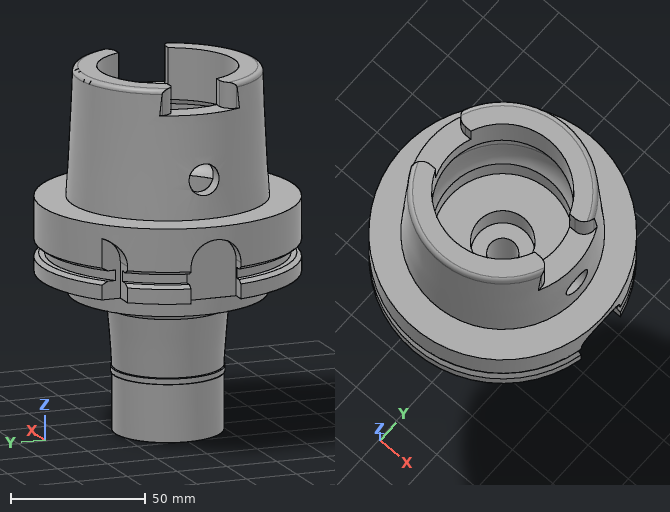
import cadquery as cq
import math

shank_length = 50.0
shank_base_radius = 38.05
shank_taper = 1 / 20
shank_top_radius = shank_base_radius - shank_length * shank_taper
shank_top_fillet = 2.0

flange_radius = 50.0
flange_bottom_z = -29.0
groove_centre_z = -20.0
groove_mouth_width = 6.6
groove_inner_width = 4.0
groove_flank_radius = 48.2
groove_floor_radius = 46.0

hub_radius = 37.5
hub_bottom_z = -37.0
neck_bottom_z = -65.0
cone_height = 5.0
neck_top_radius = 22.8
neck_bottom_radius = 21.0

sleeve_gap = 0.3
sleeve_top_z = neck_bottom_z - sleeve_gap
sleeve_bottom_z = -90.0
sleeve_radius = neck_bottom_radius
collar_radius = 21.4
collar_bottom_z = -67.5

mouth_bore_radius = 26.5
lip_bottom_z = 30.0
recess_radius = 31.5
lip_cone_height = (recess_radius - mouth_bore_radius) * math.tan(math.radians(30))
recess_wall_bottom_z = 9.7
recess_curve_radius = 10.0
pilot_bore_radius = mouth_bore_radius
pilot_floor_z = -11.0
counterbore_radius = 12.0
counterbore_depth = 15.0
through_hole_radius = 6.0

cross_hole_radius = 6.0
cross_hole_z = 15.0

drive_slot_width = 19.8
drive_slot_flat_x = 32.3
drive_slot_corner_radius = 5.0
drive_slot_floors = {-1: 40.0, 1: 34.5}

keyway_widths = {-1: 20.0, 1: 22.0}
corner_notch_width = 20.0
keyway_top_z = -5.0
keyway_floor_x = 44.0
notch_wall = 31.5


def revolve(profile):
    """Solid of revolution about Z from (radius, z) points."""
    return cq.Workplane("YZ").polyline(profile).close().revolve(360, (0, 0, 0), (0, 1, 0))


def cylinder(radius, bottom_z, top_z):
    """Cylinder on the part axis."""
    return cq.Workplane("XY", origin=(0, 0, bottom_z)).circle(radius).extrude(top_z - bottom_z)


def holder_blank():
    """Outside of the holder: shank, flange with groove, hub, cone and neck."""
    half_mouth = groove_mouth_width / 2
    half_inner = groove_inner_width / 2
    profile = [
        (0, shank_length),
        (shank_top_radius, shank_length),
        (shank_base_radius, 0),
        (flange_radius, 0),
        (flange_radius, groove_centre_z + half_mouth),
        (groove_flank_radius, groove_centre_z + half_inner),
        (groove_floor_radius, groove_centre_z + half_inner),
        (groove_floor_radius, groove_centre_z - half_inner),
        (groove_flank_radius, groove_centre_z - half_inner),
        (flange_radius, groove_centre_z - half_mouth),
        (flange_radius, flange_bottom_z),
        (hub_radius, flange_bottom_z),
        (hub_radius, hub_bottom_z),
        (neck_top_radius + cone_height, hub_bottom_z),
        (neck_top_radius, hub_bottom_z - cone_height),
        (neck_bottom_radius, neck_bottom_z),
        (0, neck_bottom_z),
    ]
    return revolve(profile).faces(">Z").edges().fillet(shank_top_fillet)


def axial_bore():
    """Clamping bore: mouth, undercut recess curving in to a pilot bore, counterbore, hole."""
    counterbore_floor_z = pilot_floor_z - counterbore_depth
    curve_centre_radius = recess_radius - recess_curve_radius
    sweep = math.acos((pilot_bore_radius - curve_centre_radius) / recess_curve_radius)

    def curve_point(angle):
        return (
            curve_centre_radius + recess_curve_radius * math.cos(angle),
            recess_wall_bottom_z - recess_curve_radius * math.sin(angle),
        )

    profile = (
        cq.Workplane("YZ")
        .moveTo(0, shank_length)
        .lineTo(mouth_bore_radius, shank_length)
        .lineTo(mouth_bore_radius, lip_bottom_z)
        .lineTo(recess_radius, lip_bottom_z - lip_cone_height)
        .lineTo(recess_radius, recess_wall_bottom_z)
        .threePointArc(curve_point(sweep / 2), curve_point(sweep))
        .lineTo(pilot_bore_radius, pilot_floor_z)
        .lineTo(counterbore_radius, pilot_floor_z)
        .lineTo(counterbore_radius, counterbore_floor_z)
        .lineTo(through_hole_radius, counterbore_floor_z)
        .lineTo(through_hole_radius, neck_bottom_z)
        .lineTo(0, neck_bottom_z)
        .close()
    )
    return profile.revolve(360, (0, 0, 0), (0, 1, 0))


def cross_hole():
    """Radial hole along X through both shank walls."""
    return (
        cq.Workplane("YZ", origin=(0, 0, cross_hole_z))
        .circle(cross_hole_radius)
        .extrude(shank_base_radius, both=True)
    )


def drive_slot(side, floor_z):
    """Slot through the rim on one side, with rounded corners onto the trimming flats."""
    half_slot = drive_slot_width / 2
    corner = drive_slot_corner_radius
    reach = shank_base_radius
    arc_start_x = drive_slot_flat_x - corner
    arc_end_y = half_slot + corner
    mid_x = arc_start_x + corner * math.sin(math.radians(45))
    mid_y = arc_end_y - corner * math.cos(math.radians(45))
    return (
        cq.Workplane("XY", origin=(0, 0, floor_z))
        .moveTo(0, -half_slot)
        .lineTo(side * arc_start_x, -half_slot)
        .threePointArc((side * mid_x, -mid_y), (side * drive_slot_flat_x, -arc_end_y))
        .lineTo(side * drive_slot_flat_x, -reach)
        .lineTo(side * reach, -reach)
        .lineTo(side * reach, reach)
        .lineTo(side * drive_slot_flat_x, reach)
        .lineTo(side * drive_slot_flat_x, arc_end_y)
        .threePointArc((side * mid_x, mid_y), (side * arc_start_x, half_slot))
        .lineTo(0, half_slot)
        .close()
        .extrude(shank_length - floor_z)
    )


def round_top_slot(side, width, wall_x, centre_y):
    """Slot cut along X into the flange from below, round at the top, ending at a flat wall."""
    radius = width / 2
    arc_centre_z = keyway_top_z - radius
    return (
        cq.Workplane("YZ", origin=(side * wall_x, 0, 0))
        .moveTo(centre_y - radius, flange_bottom_z)
        .lineTo(centre_y - radius, arc_centre_z)
        .threePointArc((centre_y, keyway_top_z), (centre_y + radius, arc_centre_z))
        .lineTo(centre_y + radius, flange_bottom_z)
        .close()
        .extrude(side * flange_radius)
    )


def build_holder():
    holder = holder_blank().cut(axial_bore()).cut(cross_hole())
    for side, floor_z in drive_slot_floors.items():
        holder = holder.cut(drive_slot(side, floor_z))
    for side, width in keyway_widths.items():
        holder = holder.cut(round_top_slot(side, width, keyway_floor_x, 0))
    notch_centre_y = notch_wall + corner_notch_width / 2
    corner_notch = round_top_slot(-1, corner_notch_width, notch_wall, notch_centre_y)
    return holder.cut(corner_notch)


def build_sleeve():
    """Sleeve with a collar at its top and the through hole continuing down the axis."""
    body = cylinder(sleeve_radius, sleeve_bottom_z, sleeve_top_z)
    collar = cylinder(collar_radius, collar_bottom_z, sleeve_top_z)
    hole = cylinder(through_hole_radius, sleeve_bottom_z, sleeve_top_z)
    return body.union(collar).cut(hole)


holder = build_holder()
sleeve = build_sleeve()
result = cq.Compound.makeCompound([holder.val(), sleeve.val()])